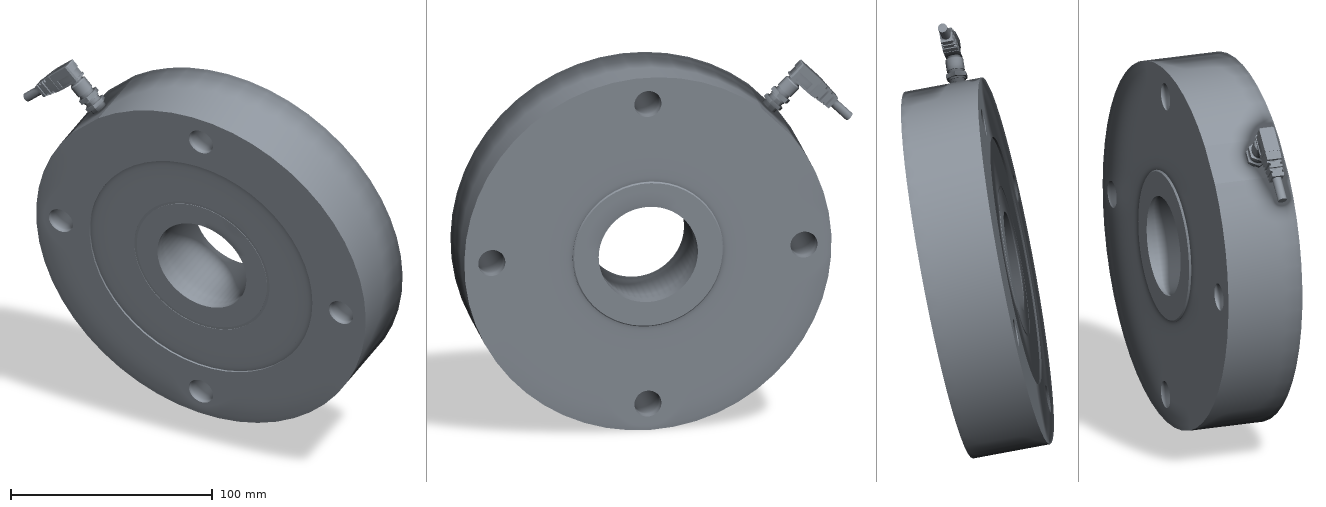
import cadquery as cq
import math

overall_width = 199.7
disc_diameter = 185.0
disc_thickness = 39.0
bore_diameter = 50.0
flat_distance = 91.9

mount_hole_count = 4
mount_hole_diameter = 13.5
mount_circle_diameter = 157.2

recess_diameter = 125.0
recess_depth = 1.0
hub_diameter = 75.9
lid_diameter = 120.2
lid_thickness = 4.0

hub_rim_diameter = 73.0
hub_step_depth = 0.2

boss_diameter = hub_diameter
boss_height = 1.0
boss_chamfer = 0.5

connector_y = 15.2
thread_diameter = 8.0
thread_flats = 7.4
collar_diameter = 8.8
hex_across_flats = 10.0
nut_bottom = 94.3
nut_top = 96.3
collar_bottom = 98.3
socket_hex_bottom = 99.3
socket_hex_top = 101.5
sleeve_bottom = 103.3
sleeve_top = 109.6
sleeve_diameter = 9.0
sleeve_chamfer = 0.5
stem_diameter = 6.8

block_bottom = 110.6
block_height = 9.2
block_width = 7.8
block_end = 4.4
block_corner_chamfer = 0.8
block_top_chamfer = 0.4
relief_end = 22.2
relief_tip_height = 6.8
relief_tip_width = 6.2
relief_slot_pitch = 4.2
relief_slot_width = 1.2
relief_slot_depth = 1.2
side_slot_start = 13.8
face_slot_start = 15.5
band_groove_start = 8.8
band_groove_width = 0.8
band_groove_depth = 0.2
relief_start = band_groove_start + band_groove_width
panel_length = 11.2
panel_bottom = 111.6
panel_top = 115.6
panel_depth = 0.4

cable_diameter = 4.5

block_middle = block_bottom + block_height / 2
disc_radius = disc_diameter / 2

connector_plane = cq.Plane(origin=(0, connector_y, 0), xDir=(-1, 0, -1), normal=(-1, 0, 1))
connector_frame = cq.Location(connector_plane)


def disc_along_y(diameter, start, length):
    return cq.Workplane("XZ", origin=(0, start, 0)).circle(diameter / 2).extrude(-length)


def ring_in_recess(outer_diameter, inner_diameter, thickness):
    """A ring whose front face lies on the floor of the front recess."""
    outer = disc_along_y(outer_diameter, recess_depth, thickness)
    return outer.cut(disc_along_y(inner_diameter, recess_depth, thickness))


def post(diameter, bottom, top):
    return cq.Workplane("XY", origin=(0, 0, bottom)).circle(diameter / 2).extrude(top - bottom)


def hexagon(bottom, top):
    across_corners = hex_across_flats / math.cos(math.pi / 6)
    return cq.Workplane("XY", origin=(0, 0, bottom)).polygon(6, across_corners).extrude(top - bottom)


def box_between(x_range, width, z_range):
    length = x_range[1] - x_range[0]
    height = z_range[1] - z_range[0]
    box = cq.Workplane("XY").box(length, width, height)
    return box.translate((sum(x_range) / 2, 0, sum(z_range) / 2))


def thread(bottom, top):
    flats = box_between((-thread_diameter, thread_diameter), thread_flats, (bottom, top))
    return post(thread_diameter, bottom, top).intersect(flats)


def make_lid():
    return ring_in_recess(lid_diameter, hub_diameter, lid_thickness)


def make_housing():
    boss = disc_along_y(boss_diameter, disc_thickness, boss_height).faces(">Y").chamfer(boss_chamfer)
    housing = disc_along_y(disc_diameter, 0, disc_thickness).union(boss)
    housing = housing.cut(disc_along_y(bore_diameter, 0, disc_thickness + boss_height))
    holes = cq.Workplane("XZ").polarArray(mount_circle_diameter / 2, 0, 360, mount_hole_count)
    housing = housing.cut(holes.circle(mount_hole_diameter / 2).extrude(-disc_thickness))
    housing = housing.cut(disc_along_y(recess_diameter, 0, recess_depth))
    housing = housing.cut(make_lid())
    housing = housing.cut(ring_in_recess(hub_diameter, hub_rim_diameter, hub_step_depth))
    beyond_flat = box_between(
        (-disc_radius, disc_radius), 3 * disc_thickness, (flat_distance, disc_diameter)
    )
    return housing.cut(cq.Workplane(beyond_flat.val().moved(connector_frame)))


def make_socket():
    socket = thread(flat_distance, collar_bottom).union(post(collar_diameter, collar_bottom, socket_hex_bottom))
    socket = socket.union(hexagon(socket_hex_bottom, socket_hex_top))
    return socket.union(post(thread_diameter, socket_hex_top, sleeve_bottom))


def make_nut():
    return hexagon(nut_bottom, nut_top).cut(thread(nut_bottom, nut_top))


def make_sleeve():
    sleeve = post(sleeve_diameter, sleeve_bottom, sleeve_top).faces(">Z").chamfer(sleeve_chamfer)
    return sleeve.cut(post(stem_diameter, sleeve_bottom, sleeve_top))


def make_block():
    block = box_between(
        (-block_end, relief_start), block_width, (block_bottom, block_bottom + block_height)
    )
    block = block.faces("<X").edges(">Z").chamfer(block_top_chamfer)
    return block.faces("<X").edges("|Z").chamfer(block_corner_chamfer)


def make_relief():
    relief = (
        cq.Workplane("YZ", origin=(relief_start, 0, block_middle))
        .rect(block_width, block_height)
        .workplane(offset=relief_end - relief_start)
        .rect(relief_tip_width, relief_tip_height)
        .loft()
    )
    return relief.cut(relief_slots())


def relief_slots():
    """Slots in the two height sides alternate along the cable with slots in the two width sides."""
    core_height = relief_tip_height - relief_slot_depth
    core_width = relief_tip_width - relief_slot_depth
    slots = cq.Workplane("XY")
    for step in range(2):
        side_slot = slot_slab(side_slot_start + step * relief_slot_pitch)
        side_core = cq.Workplane("XY").box(relief_end * 2, block_width * 2, core_height)
        face_slot = slot_slab(face_slot_start + step * relief_slot_pitch)
        face_core = cq.Workplane("XY").box(relief_end * 3, core_width, block_height * 2)
        slots = slots.add(side_slot.cut(side_core.translate((relief_end, 0, block_middle))))
        slots = slots.add(face_slot.cut(face_core.translate((relief_end, 0, block_middle))))
    return slots.combine()


def slot_slab(middle):
    half = relief_slot_width / 2
    return box_between(
        (middle - half, middle + half), block_width, (block_bottom, block_bottom + block_height)
    )


def band_groove():
    span = (band_groove_start, relief_start)
    outer = box_between(span, block_width, (block_bottom, block_bottom + block_height))
    core_span = (block_bottom + band_groove_depth, block_bottom + block_height - band_groove_depth)
    return outer.cut(box_between(span, block_width - 2 * band_groove_depth, core_span))


def panel_recess():
    """A band sunk into both wide faces and the closed end of the block."""
    panel_z = (panel_bottom, panel_top)
    outer = box_between((-block_end, panel_length - block_end), block_width, panel_z)
    core = box_between(
        (panel_depth - block_end, panel_length - block_end), block_width - 2 * panel_depth, panel_z
    )
    core = core.faces("<X").edges("|Z").chamfer(block_corner_chamfer)
    return outer.cut(core)


def make_plug():
    plug = make_block().cut(panel_recess()).cut(band_groove()).union(make_relief())
    return plug.union(post(stem_diameter, sleeve_bottom, block_bottom))


def make_cable():
    """The cable ends where its corner reaches the overall width."""
    reach = math.sqrt(2) * (overall_width - disc_radius)
    cable_end = reach - block_middle - cable_diameter / 2
    section = cq.Workplane("YZ", origin=(relief_end, 0, block_middle)).circle(cable_diameter / 2)
    return section.extrude(cable_end - relief_end)


housing = make_housing()
lid = make_lid()
connector_bodies = [make_socket(), make_nut(), make_sleeve(), make_plug(), make_cable()]
placed_bodies = [body.val().moved(connector_frame) for body in connector_bodies]

result = cq.Compound.makeCompound([housing.val(), lid.val(), *placed_bodies])